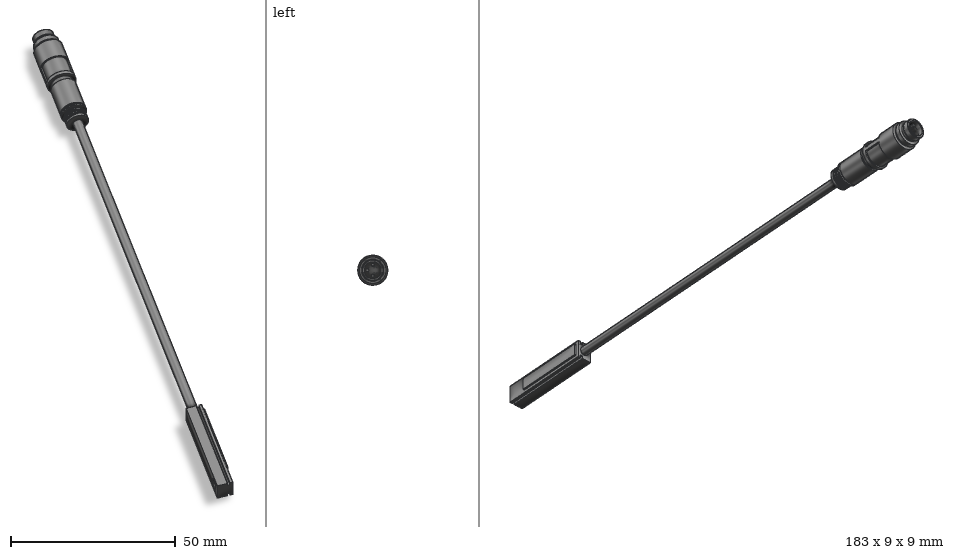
import cadquery as cq
import math

plug_length = 35.0
sensor_start = 151.7
sensor_end = 183

nose_end = 2.0
nose_groove_end = 3.1
thread_end = 4.5
sleeve_start = 5.3
grip_start = 11.9
grip_end = 18.0
sleeve_end = 19.0
neck_end = 20.7
barrel_end = 31.3
nose_chamfer = 0.2
nose_radius = 3.3
nose_groove_radius = 3.0
thread_radius = 4.0
sleeve_radius = 4.5
neck_radius = 3.5
barrel_radius = 4.0
tail_radius = 3.5

grip_radius = 4.0
grip_rib_width = 1.5

socket_radius = 2.5
socket_depth = 4.5
pin_radius = 0.45
pin_circle_radius = 1.6
pin_angles = (0, 90, 270)
pin_tip_inset = 1.0

relief_start = 30.2
relief_pitch = 1.1
relief_count = 4
relief_groove_width = 0.5
relief_core_radius = 3.1

cable_radius = 1.5

sensor_height = 6.0
sensor_front_y = -2.5
sensor_back_y = 2.4
slot_center_y = 1.1
slot_width = 0.7
slot_depth = 1.0
pad_start = 152.8
pad_end = 176.4
pad_height = 4.0
pad_thickness = 0.5
screw_x = 179.6
screw_head_radius = 1.6
screw_head_depth = 0.5
screw_socket_radius = 1.0
screw_socket_depth = 2.2


def cylinder(start, end, radius):
    """Solid cylinder along X, centred on the cable axis."""
    return cq.Workplane("YZ", origin=(start, 0, 0)).circle(radius).extrude(end - start)


def ring(start, end, outer_radius, inner_radius):
    """Hollow cylinder along X, centred on the cable axis."""
    profile = cq.Workplane("YZ", origin=(start, 0, 0)).circle(outer_radius).circle(inner_radius)
    return profile.extrude(end - start)


def box(x_range, y_range, z_range):
    """Box between the given limits on each axis."""
    sizes = [high - low for low, high in (x_range, y_range, z_range)]
    corner = (x_range[0], y_range[0], z_range[0])
    return cq.Workplane("XY").box(*sizes, centered=False).translate(corner)


def turned_plug():
    """Stepped body of revolution, without recesses."""
    outline = [
        (0, 0),
        (0, nose_radius - nose_chamfer),
        (nose_chamfer, nose_radius),
        (nose_end, nose_radius),
        (nose_end, nose_groove_radius),
        (nose_groove_end, nose_groove_radius),
        (nose_groove_end, thread_radius),
        (thread_end, thread_radius),
        (thread_end, neck_radius),
        (sleeve_start, neck_radius),
        (sleeve_start, sleeve_radius),
        (sleeve_end, sleeve_radius),
        (sleeve_end, neck_radius),
        (neck_end, neck_radius),
        (neck_end, barrel_radius),
        (barrel_end, barrel_radius),
        (barrel_end, tail_radius),
        (plug_length, tail_radius),
        (plug_length, 0),
    ]
    return cq.Workplane("XY").polyline(outline).close().revolve(360, (0, 0, 0), (1, 0, 0))


def grip_recess():
    """Shallow band above and below the sleeve that leaves a rib on each side."""
    band = ring(grip_start, grip_end, 2 * sleeve_radius, grip_radius)
    rib_zone = box(
        (grip_start, grip_end),
        (-2 * sleeve_radius, 2 * sleeve_radius),
        (-grip_rib_width / 2, grip_rib_width / 2),
    )
    return band.cut(rib_zone)


def contact_socket():
    """Round socket in the nose, with the contact pins left standing."""
    socket = cylinder(0, socket_depth, socket_radius)
    for angle in pin_angles:
        y = pin_circle_radius * math.cos(math.radians(angle))
        z = pin_circle_radius * math.sin(math.radians(angle))
        socket = socket.cut(cylinder(pin_tip_inset, socket_depth, pin_radius).translate((0, y, z)))
    return socket


def make_plug():
    plug = turned_plug().cut(grip_recess()).cut(contact_socket())
    for index in range(relief_count):
        start = relief_start + index * relief_pitch
        plug = plug.cut(ring(start, start + relief_groove_width, 2 * barrel_radius, relief_core_radius))
    return plug


def make_sensor():
    half_height = sensor_height / 2
    sensor = box(
        (sensor_start, sensor_end), (sensor_front_y, sensor_back_y), (-half_height, half_height)
    )

    slot_y = (slot_center_y - slot_width / 2, slot_center_y + slot_width / 2)
    for slot_z in ((half_height - slot_depth, half_height), (-half_height, slot_depth - half_height)):
        sensor = sensor.cut(box((sensor_start, sensor_end), slot_y, slot_z))

    sensor = sensor.union(
        box(
            (pad_start, pad_end),
            (sensor_back_y, sensor_back_y + pad_thickness),
            (-pad_height / 2, pad_height / 2),
        )
    )

    face = cq.Workplane("XZ", origin=(screw_x, sensor_front_y, 0))
    sensor = sensor.cut(face.circle(screw_head_radius).extrude(-screw_head_depth))
    sensor = sensor.cut(face.circle(screw_socket_radius).extrude(-screw_socket_depth))

    return sensor.union(cylinder(plug_length, sensor_start, cable_radius))


plug = make_plug()
sensor = make_sensor()

result = cq.Compound.makeCompound([plug.val(), sensor.val()])